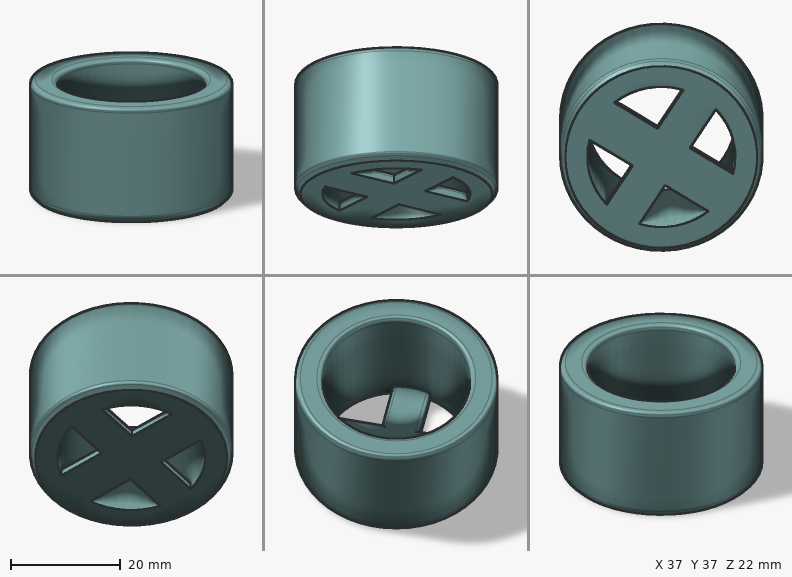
import cadquery as cq
import math

outer_diameter = 37.0
bore_diameter = 27.0
height = 22.0
edge_radius = 1.0

bevel_size = 0.7

x_arm_width = 8.5
y_arm_width = 7.03
cross_thickness = 2.0
cross_edge_radius = 0.7

outer_radius = outer_diameter / 2
bore_radius = bore_diameter / 2


def make_ring():
    """Revolve the wall section, with its bevelled foot, then round the top rims."""
    arc_center_x = outer_radius - edge_radius
    arc_start_offset = edge_radius * math.cos(math.radians(45))
    shoulder_z = bevel_size + arc_start_offset
    bevel_top_x = arc_center_x + arc_start_offset
    arc_mid_angle = math.radians(22.5)
    arc_mid = (
        arc_center_x + edge_radius * math.cos(arc_mid_angle),
        shoulder_z - edge_radius * math.sin(arc_mid_angle),
    )
    section = (
        cq.Workplane("XZ")
        .moveTo(bore_radius, 0)
        .lineTo(bevel_top_x - bevel_size, 0)
        .lineTo(bevel_top_x, bevel_size)
        .threePointArc(arc_mid, (outer_radius, shoulder_z))
        .lineTo(outer_radius, height)
        .lineTo(bore_radius, height)
        .close()
    )
    ring = section.revolve(360, (0, 0, 0), (0, 1, 0))
    return ring.faces(">Z").edges().fillet(edge_radius)


def make_cross():
    """Two crossing bars with rounded top edges, ending inside the ring wall."""
    arm_length = (outer_diameter + bore_diameter) / 2
    centered = (True, True, False)
    x_arm = cq.Workplane("XY").box(arm_length, x_arm_width, cross_thickness, centered=centered)
    y_arm = cq.Workplane("XY").box(y_arm_width, arm_length, cross_thickness, centered=centered)
    cross = x_arm.union(y_arm)
    return cross.faces(">Z").edges().fillet(cross_edge_radius)


result = make_ring().union(make_cross())